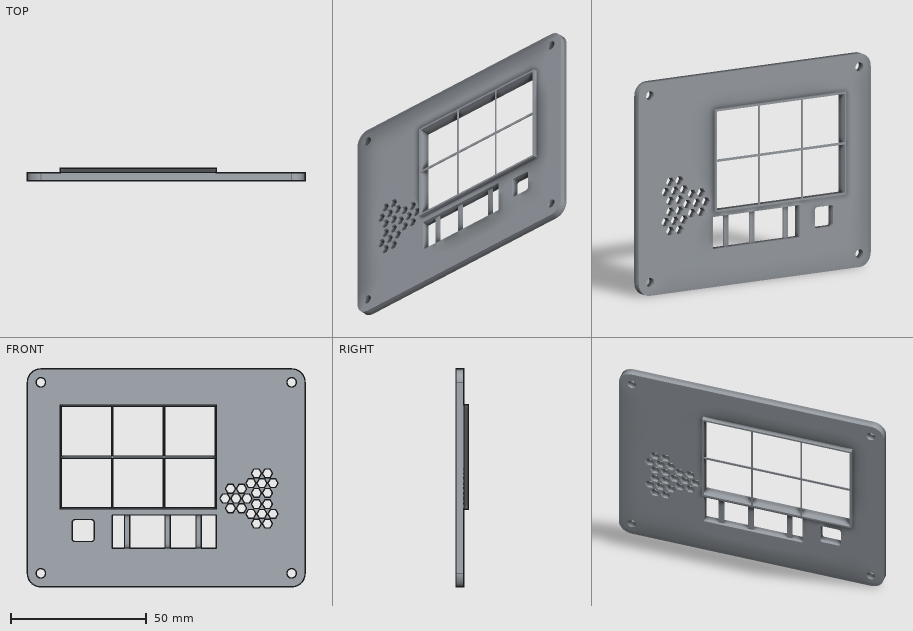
import cadquery as cq


plate_length = 102.25
plate_height = 80.25
plate_thickness = 3.0
corner_radius = 5.0
screw_hole_diameter = 3.4
screw_spacing_x = plate_length - 2 * corner_radius
screw_spacing_z = plate_height - 2 * corner_radius

key_columns = 3
key_rows = 2
key_pitch = 19.0
key_opening_width = 18.4
key_opening_height = 18.1
window_center_x = -10.325
window_center_z = 7.65
window_width = 57.25
window_height = 38.15
frame_wall = 0.2
frame_rise = 1.75
grid_thickness = 0.3
frame_back = plate_thickness + frame_rise

slot_width = 38.1
slot_height = 12.1
slot_center_x = window_center_x + (window_width - slot_width) / 2
slot_center_z = -19.8
bar_width = 2.05
bar_thickness = 0.5
bar_front = 1.4
bar_centers_x = (-14.4, 0.5, 11.9)

button_size = 8.0
button_corner_radius = 1.0
button_center_x = -30.55
button_center_z = -19.4

hexagon_sides = 6
hexagon_diameter = 3.65
hexagon_pitch_x = 4.05
hexagon_pitch_z = 3.6
grille_center_z = -7.6
cluster_rise = 5.65
left_cluster_x = 25.65
right_cluster_x = 35.2
hexagons_per_row = (2, 3, 2)


def block(width, height, center_x, center_z, y_front, y_back):
    """Rectangular block between two Y levels."""
    return cq.Workplane("XY").box(
        width, y_back - y_front, height
    ).translate((center_x, (y_front + y_back) / 2, center_z))


def front_plane():
    """Workplane on the front face, X right and Z up; negative extrusions run toward +Y."""
    return cq.Workplane("XZ")


def make_plate():
    plate = block(plate_length, plate_height, 0, 0, 0, plate_thickness)
    plate = plate.edges("|Y").fillet(corner_radius)
    screw_holes = (
        front_plane()
        .rect(screw_spacing_x, screw_spacing_z, forConstruction=True)
        .vertices()
        .circle(screw_hole_diameter / 2)
        .extrude(-plate_thickness)
    )
    return plate.cut(screw_holes)


def add_key_frame(panel):
    frame = block(
        window_width + 2 * frame_wall,
        window_height + 2 * frame_wall,
        window_center_x,
        window_center_z,
        0,
        frame_back,
    )
    window = block(
        window_width, window_height, window_center_x, window_center_z, 0, frame_back - grid_thickness
    )
    key_openings = (
        front_plane()
        .center(window_center_x, window_center_z)
        .rarray(key_pitch, key_pitch, key_columns, key_rows)
        .rect(key_opening_width, key_opening_height)
        .extrude(-frame_back)
    )
    return panel.union(frame).cut(window).cut(key_openings)


def cut_barred_slot(panel):
    panel = panel.cut(
        block(slot_width, slot_height, slot_center_x, slot_center_z, 0, plate_thickness)
    )
    for bar_x in bar_centers_x:
        bar = block(
            bar_width, slot_height, bar_x, slot_center_z,
            bar_front, bar_front + bar_thickness,
        )
        panel = panel.union(bar)
    return panel


def cut_button_hole(panel):
    button = block(
        button_size, button_size, button_center_x, button_center_z, 0, plate_thickness
    )
    return panel.cut(button.edges("|Y").fillet(button_corner_radius))


def cluster_points(center_x, center_z):
    """Centres of one cluster's hexagons, in staggered rows."""
    points = []
    for row, count in enumerate(hexagons_per_row):
        z = center_z + (row - (len(hexagons_per_row) - 1) / 2) * hexagon_pitch_z
        for column in range(count):
            x = center_x + (column - (count - 1) / 2) * hexagon_pitch_x
            points.append((x, z))
    return points


def cut_speaker_grille(panel):
    points = cluster_points(left_cluster_x, grille_center_z)
    for z_offset in (-cluster_rise, cluster_rise):
        points += cluster_points(right_cluster_x, grille_center_z + z_offset)
    hexagons = (
        front_plane()
        .pushPoints(points)
        .polygon(hexagon_sides, hexagon_diameter)
        .extrude(-plate_thickness)
    )
    return panel.cut(hexagons)


panel = make_plate()
panel = add_key_frame(panel)
panel = cut_barred_slot(panel)
panel = cut_button_hole(panel)
result = cut_speaker_grille(panel)